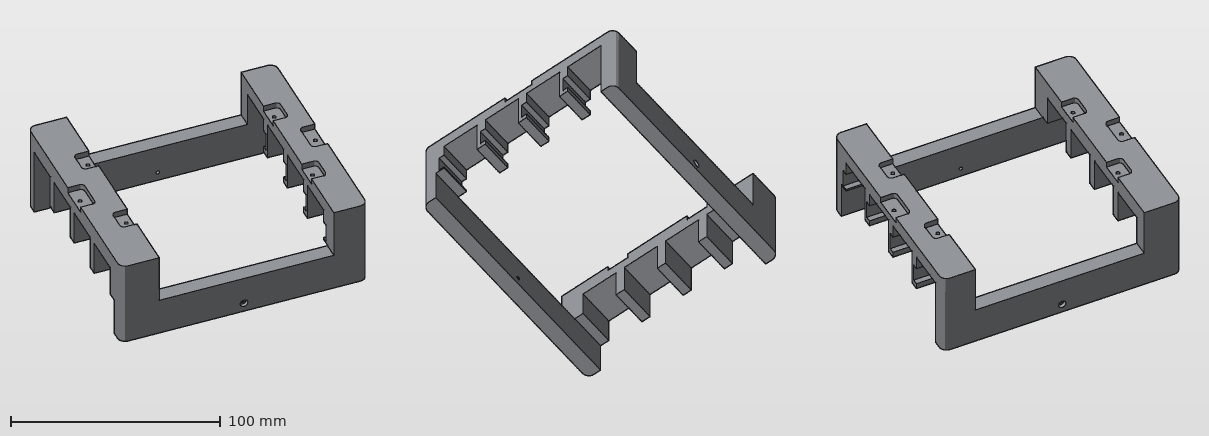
import cadquery as cq

LENGTH_X = 116.0
LENGTH_Y = 127.5
HEIGHT = 46.0
CORNER_RADIUS = 4.0

BAY_COUNT = 4
BAY_PITCH = 25.0
RAIL_THICKNESS = (LENGTH_X - BAY_COUNT * BAY_PITCH) / 2
RAIL_HEIGHT = 20.0
FRONT_BEAM_DEPTH = 20.0
BACK_BEAM_DEPTH = 17.5
FRONT_BEAM_THICKNESS = 9.5
BACK_BEAM_THICKNESS = 7.8

TOOTH_WIDTH = 5.0
TOOTH_BOTTOM = HEIGHT - 27.9
LEG_STEP_BOTTOM = HEIGHT - 25.8

GROOVE_DEPTH = 2.9
GROOVE_TOP = HEIGHT - 15.0
GROOVE_BOTTOM = HEIGHT - 24.7

POCKET_DEPTH = 3.0
POCKET_REACH = 8.0
POCKET_RADIUS = 2.0
OUTER_POCKET_WIDTH = 16.1
INNER_POCKET_WIDTH = 12.1
INNER_POCKET_SPACING = 48.0
PILOT_DIAMETER = 1.8
PILOT_DEPTH = 5.0
PILOT_TIP_DEPTH = 0.5
PILOT_EDGE_DISTANCE = 3.0

RAIL_HOLE_DIAMETER = 1.8
COUNTERBORE_DIAMETER = 3.8
COUNTERBORE_DEPTH = 2.0
RAIL_HOLE_HEIGHT = 4.8

HALF_X = LENGTH_X / 2
LEFT = -HALF_X
FRONT = -LENGTH_Y / 2
BACK = LENGTH_Y / 2
OPENING_FRONT = FRONT + FRONT_BEAM_DEPTH
OPENING_BACK = BACK - BACK_BEAM_DEPTH
BAYS_START = LEFT + RAIL_THICKNESS
BAYS_END = HALF_X - RAIL_THICKNESS
TOOTH_LEFT_FACES = [BAYS_START + i * BAY_PITCH - TOOTH_WIDTH for i in range(1, BAY_COUNT)]
LEG_STEP_FACE = BAYS_END - TOOTH_WIDTH


def block(x_range, y_range, z_range):
    """Box spanning the given (low, high) ranges."""
    size = [high - low for low, high in (x_range, y_range, z_range)]
    corner = (x_range[0], y_range[0], z_range[0])
    return cq.Workplane("XY").box(*size, centered=False).translate(corner)


def frame():
    """Rounded block opened above the rails, between the beams and below the beams."""
    inner_x = (BAYS_START, BAYS_END)
    outline = cq.Workplane("XY").rect(LENGTH_X, LENGTH_Y).extrude(HEIGHT)
    body = outline.edges("|Z").fillet(CORNER_RADIUS)
    body = body.cut(block((LEFT, HALF_X), (OPENING_FRONT, OPENING_BACK), (RAIL_HEIGHT, HEIGHT)))
    body = body.cut(block(inner_x, (OPENING_FRONT, OPENING_BACK), (0, HEIGHT)))
    body = body.cut(block(inner_x, (FRONT, OPENING_FRONT), (0, HEIGHT - FRONT_BEAM_THICKNESS)))
    return body.cut(block(inner_x, (OPENING_BACK, BACK), (0, HEIGHT - BACK_BEAM_THICKNESS)))


def teeth(y_range, beam_underside):
    """Teeth of one beam, with the step that thickens the right leg."""
    row = block((LEG_STEP_FACE, BAYS_END), y_range, (LEG_STEP_BOTTOM, beam_underside))
    for face in TOOTH_LEFT_FACES:
        row = row.add(block((face, face + TOOTH_WIDTH), y_range, (TOOTH_BOTTOM, beam_underside)))
    return row.combine()


def back_grooves():
    """Grooves along Y in the teeth and leg step of the back beam."""
    grooves = cq.Workplane("XY")
    for face in TOOTH_LEFT_FACES + [LEG_STEP_FACE]:
        grooves = grooves.add(
            block((face, face + GROOVE_DEPTH), (OPENING_BACK, BACK), (GROOVE_BOTTOM, GROOVE_TOP))
        )
    return grooves.combine()


def screw_pocket(x, edge_y, direction, width):
    """Pocket open at the beam edge edge_y, running into the beam (direction +1 or -1 along Y)."""
    floor = HEIGHT - POCKET_DEPTH
    pocket = (
        cq.Workplane("XY", origin=(x, edge_y, floor))
        .rect(width, 2 * POCKET_REACH)
        .extrude(POCKET_DEPTH)
        .edges("|Z")
        .fillet(POCKET_RADIUS)
    )
    radius = PILOT_DIAMETER / 2
    half_profile = [(0, 0), (radius, 0), (radius, -PILOT_DEPTH), (0, -PILOT_DEPTH - PILOT_TIP_DEPTH)]
    pilot = (
        cq.Workplane("XZ", origin=(x, edge_y + direction * PILOT_EDGE_DISTANCE, floor))
        .polyline(half_profile)
        .close()
        .revolve(360, (0, 0), (0, 1))
    )
    return pocket.union(pilot)


def rail_hole(side):
    """Cross hole through the rail on the given side (-1 or +1), counterbored on its outer face."""
    plane = cq.Plane(
        origin=(side * HALF_X, 0, RAIL_HOLE_HEIGHT), xDir=(0, 1, 0), normal=(-side, 0, 0)
    )
    shank = cq.Workplane(plane).circle(RAIL_HOLE_DIAMETER / 2).extrude(RAIL_THICKNESS)
    counterbore = cq.Workplane(plane).circle(COUNTERBORE_DIAMETER / 2).extrude(COUNTERBORE_DEPTH)
    return shank.union(counterbore)


result = frame()
result = result.union(teeth((FRONT, OPENING_FRONT), HEIGHT - FRONT_BEAM_THICKNESS))
result = result.union(teeth((OPENING_BACK, BACK), HEIGHT - BACK_BEAM_THICKNESS))
result = result.cut(back_grooves())

for outer_edge, inner_edge, inward in ((FRONT, OPENING_FRONT, 1), (BACK, OPENING_BACK, -1)):
    result = result.cut(screw_pocket(0, outer_edge, inward, OUTER_POCKET_WIDTH))
    for x in (-INNER_POCKET_SPACING / 2, INNER_POCKET_SPACING / 2):
        result = result.cut(screw_pocket(x, inner_edge, -inward, INNER_POCKET_WIDTH))

for side in (-1, 1):
    result = result.cut(rail_hole(side))